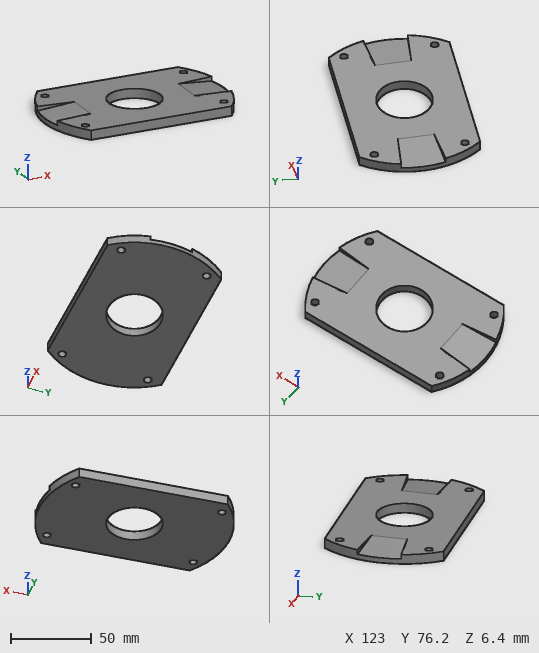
import cadquery as cq
import math

plate_diameter = 123.0
plate_width = 76.2
thickness = 6.4

bore_diameter = 35.1

mount_hole_diameter = 4.8
mount_spacing_x = 95.2
mount_spacing_y = 57.2

ramp_start_x = 35.8
ramp_start_width = 22.9
ramp_rim_width = 27.9
ramp_rim_depth = 3.0

plate_radius = plate_diameter / 2
rim_corner_x = math.sqrt(plate_radius**2 - (ramp_rim_width / 2) ** 2)


def make_plate():
    disc = cq.Workplane("XY").circle(plate_radius).extrude(thickness)
    band = cq.Workplane("XY").box(plate_diameter, plate_width, thickness, centered=(True, True, False))
    return disc.intersect(band)


def make_ramp_cutter():
    """Wedge for the +X recess: its floor is ruled from a straight start line to a level arc on the rim."""
    start_half = ramp_start_width / 2
    rim_half = ramp_rim_width / 2
    floor_z = thickness - ramp_rim_depth

    start_low = cq.Vector(ramp_start_x, -start_half, thickness)
    start_high = cq.Vector(ramp_start_x, start_half, thickness)

    def rim_arc(z):
        return cq.Edge.makeThreePointArc(
            cq.Vector(rim_corner_x, -rim_half, z),
            cq.Vector(plate_radius, 0, z),
            cq.Vector(rim_corner_x, rim_half, z),
        )

    def side_wall(start, y):
        top_corner = cq.Vector(rim_corner_x, y, thickness)
        floor_corner = cq.Vector(rim_corner_x, y, floor_z)
        return cq.Face.makeFromWires(cq.Wire.makePolygon([start, top_corner, floor_corner], close=True))

    start_line = cq.Edge.makeLine(start_low, start_high)
    top_arc = rim_arc(thickness)
    floor_arc = rim_arc(floor_z)
    faces = [
        cq.Face.makeRuledSurface(start_line, top_arc),
        cq.Face.makeRuledSurface(start_line, floor_arc),
        cq.Face.makeRuledSurface(floor_arc, top_arc),
        side_wall(start_low, -rim_half),
        side_wall(start_high, rim_half),
    ]
    wedge = cq.Solid.makeSolid(cq.Shell.makeShell(faces)).fix()
    return cq.Workplane("XY").add(wedge)


plate = make_plate()
plate = plate.cut(cq.Workplane("XY").circle(bore_diameter / 2).extrude(thickness))
plate = plate.cut(
    cq.Workplane("XY")
    .rect(mount_spacing_x, mount_spacing_y, forConstruction=True)
    .vertices()
    .circle(mount_hole_diameter / 2)
    .extrude(thickness)
)

ramp_cutter = make_ramp_cutter()
for angle in (0, 180):
    plate = plate.cut(ramp_cutter.rotate((0, 0, 0), (0, 0, 1), angle))

result = plate